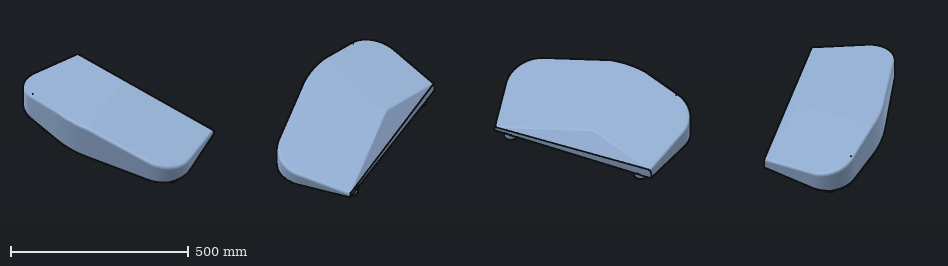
import cadquery as cq
import math


LEFT_REAR_ANGLE = 11.3
RIGHT_REAR_ANGLE = 10.0
LEFT_SIDE_ANGLE = 12.8
RIGHT_SIDE_ANGLE = 12.1
LEFT_SPAN = 196.0
RIGHT_SPAN = 284.3
NOSE_DEPTH = 250.1
CORNER_RADIUS = 86.5
NOSE_RADIUS = 290.0

APEX_HEIGHT = 75.0
CENTRE_PITCH = 9.8
WING_FALL = 0.214
EDGE_RADIUS = 9.5

FOOT_DIAMETER = 38.1
FOOT_HEIGHT = 21.5
FOOT_INSET = 45.0
FOOT_SETBACK = 11.6
FOOT_SPACING = 178.5

CLEARANCE = 40.0
PRISM_DROP = 2 * CLEARANCE
PRISM_TOP = 2 * APEX_HEIGHT
REACH = 1000.0
EDGE_MARGIN = 1.0


def tangent(degrees):
    return math.tan(math.radians(degrees))


LEFT_CORNER = (-LEFT_SPAN, LEFT_SPAN * tangent(LEFT_REAR_ANGLE))
RIGHT_CORNER = (RIGHT_SPAN, RIGHT_SPAN * tangent(RIGHT_REAR_ANGLE))


def side_direction(sign, side_angle):
    """Unit vector running forward along a wing's outer side; sign is -1 left, +1 right."""
    angle = math.radians(side_angle)
    return (sign * math.sin(angle), -math.cos(angle))


def front_corner(sign, corner, rear_angle, side_angle):
    """Sharp corner where a wing's outer side meets its front edge."""
    dx, dy = side_direction(sign, side_angle)
    slope = sign * tangent(rear_angle)
    run = (slope * corner[0] - NOSE_DEPTH - corner[1]) / (dy - slope * dx)
    return (corner[0] + run * dx, corner[1] + run * dy)


def nose_end(sign, rear_angle):
    """Plan point where the nose arc runs into a wing's front edge."""
    length = NOSE_RADIUS * tangent((LEFT_REAR_ANGLE + RIGHT_REAR_ANGLE) / 2)
    angle = math.radians(rear_angle)
    return (sign * length * math.cos(angle), -NOSE_DEPTH + length * math.sin(angle))


def rear_extension(sign, corner, side_angle):
    """Point on a wing's outer side, extended behind the rear corner."""
    dx, dy = side_direction(sign, side_angle)
    return (corner[0] - CLEARANCE * dx, corner[1] - CLEARANCE * dy)


def facet_gradient(direction_a, rise_a, direction_b, rise_b):
    """Slopes (p, q) of the plane z = p x + q y rising as given along two plan directions."""
    (ax, ay), (bx, by) = direction_a, direction_b
    det = ax * by - ay * bx
    return ((rise_a * by - rise_b * ay) / det, (ax * rise_b - bx * rise_a) / det)


def space_above(gradient):
    """Large block filling the space above a plane through the apex."""
    p, q = gradient
    plane = cq.Plane(origin=(0, 0, APEX_HEIGHT), xDir=(1, 0, p), normal=(-p, -q, 1))
    return cq.Workplane(plane).rect(2 * REACH, 2 * REACH).extrude(REACH)


def round_upright_edge(prism, position, radius):
    """Round the upright edge standing at a plan position."""
    x, y = position
    low = (x - EDGE_MARGIN, y - EDGE_MARGIN, -REACH)
    high = (x + EDGE_MARGIN, y + EDGE_MARGIN, REACH)
    return prism.edges(cq.selectors.BoxSelector(low, high)).fillet(radius)


def make_prism():
    """Upright prism of the plan outline, extended behind the rear wall and below the underside."""
    left_front = front_corner(-1, LEFT_CORNER, LEFT_REAR_ANGLE, LEFT_SIDE_ANGLE)
    right_front = front_corner(1, RIGHT_CORNER, RIGHT_REAR_ANGLE, RIGHT_SIDE_ANGLE)
    outline = [
        rear_extension(-1, LEFT_CORNER, LEFT_SIDE_ANGLE),
        left_front,
        (0, -NOSE_DEPTH),
        right_front,
        rear_extension(1, RIGHT_CORNER, RIGHT_SIDE_ANGLE),
    ]
    base = cq.Workplane("XY").workplane(offset=-PRISM_DROP)
    prism = base.polyline(outline).close().extrude(PRISM_DROP + PRISM_TOP)
    prism = round_upright_edge(prism, (0, -NOSE_DEPTH), NOSE_RADIUS)
    for corner in (left_front, right_front):
        prism = round_upright_edge(prism, corner, CORNER_RADIUS)
    return prism


def make_facets(body):
    """Cut the centre facet, the two wing facets and the rear slope."""
    left_rear = (-1, tangent(LEFT_REAR_ANGLE))
    right_rear = (1, tangent(RIGHT_REAR_ANGLE))
    left_ridge = nose_end(-1, LEFT_REAR_ANGLE)
    right_ridge = nose_end(1, RIGHT_REAR_ANGLE)
    pitch = tangent(CENTRE_PITCH)
    gradients = [
        (0, -pitch),
        facet_gradient(left_rear, -WING_FALL, left_ridge, -pitch * left_ridge[1]),
        facet_gradient(right_rear, -WING_FALL, right_ridge, -pitch * right_ridge[1]),
        facet_gradient(left_rear, -WING_FALL, right_rear, -WING_FALL),
    ]
    for gradient in gradients:
        body = body.cut(space_above(gradient))
    return body


def round_upper_edges(body):
    """Round the rim, the ridges and the rear edges, which are all the edges that are not upright."""
    def is_upper(edge):
        start, end = edge.startPoint(), edge.endPoint()
        leans = math.hypot(end.x - start.x, end.y - start.y) > EDGE_MARGIN
        return leans and edge.Center().z > 0

    edges = [edge for edge in body.edges().vals() if is_upper(edge)]
    return body.newObject(edges).fillet(EDGE_RADIUS)


def trim_rear_and_underside(body):
    """Keep the part above Z = 0 and in front of the rear wall through both rear corners."""
    keep = [(-REACH, -REACH), (REACH, -REACH)]
    slope = (RIGHT_CORNER[1] - LEFT_CORNER[1]) / (RIGHT_CORNER[0] - LEFT_CORNER[0])
    for x in (REACH, -REACH):
        keep.append((x, LEFT_CORNER[1] + slope * (x - LEFT_CORNER[0])))
    return body.intersect(cq.Workplane("XY").polyline(keep).close().extrude(REACH))


def make_feet():
    """Two round feet along each wing's outer side."""
    centres = []
    for sign, corner, side_angle in (
        (-1, LEFT_CORNER, LEFT_SIDE_ANGLE),
        (1, RIGHT_CORNER, RIGHT_SIDE_ANGLE),
    ):
        dx, dy = side_direction(sign, side_angle)
        inward_x, inward_y = sign * dy, -sign * dx
        for along in (FOOT_SETBACK, FOOT_SETBACK + FOOT_SPACING):
            x = corner[0] + along * dx + FOOT_INSET * inward_x
            y = corner[1] + along * dy + FOOT_INSET * inward_y
            centres.append((x, y))
    return cq.Workplane("XY").pushPoints(centres).circle(FOOT_DIAMETER / 2).extrude(-FOOT_HEIGHT)


body = make_facets(make_prism())
body = round_upper_edges(body)
body = trim_rear_and_underside(body)
result = body.union(make_feet())